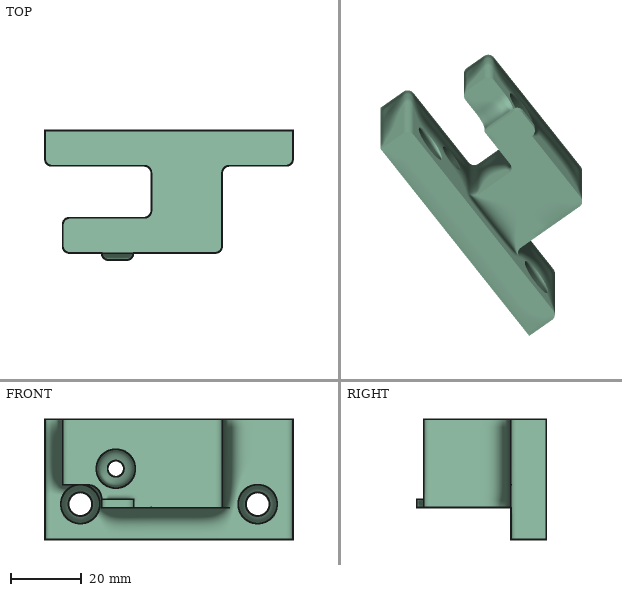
import cadquery as cq

PLATE_LENGTH = 70.0
PLATE_THICKNESS = 10.0
HEIGHT = 34.0
EDGE_RADIUS = 2.0

BODY_BOTTOM = 9.0
WEB_LEFT = 30.0
WEB_RIGHT = 50.0
ARM_LEFT = 5.0
ARM_THICKNESS = 10.0
SLOT_WIDTH = 14.57
ARM_BACK = PLATE_THICKNESS + SLOT_WIDTH
ARM_FRONT = ARM_BACK + ARM_THICKNESS

NOTCH_RIGHT = 16.0
NOTCH_TOP = 15.45
NOTCH_RADIUS = 4.0

LIP_RIGHT = 25.0
LIP_PROJECTION = 2.0
LIP_HEIGHT = 2.4

PLATE_HOLE_INSET = 10.0
PLATE_HOLE_Z = 10.0
PLATE_HOLE_DIAMETER = 6.6
PLATE_BORE_DEPTH = 6.8
HEAD_BORE_DIAMETER = 11.0
ARM_HOLE_X = 20.0
ARM_HOLE_Z = 20.0
ARM_HOLE_DIAMETER = 4.5
ARM_BORE_DEPTH = 5.0
FAR_HOLE_DIAMETER = 8.0


def block(x_min, x_max, front, back, z_min, z_max):
    """Box between two depths, measured forward (-Y) from the plate's back face."""
    size = (x_max - x_min, front - back, z_max - z_min)
    return cq.Workplane("XY").box(*size, centered=False).translate((x_min, -front, z_min))


def hole(x, z, diameter, front, depth):
    """Cylinder along Y that starts at the given forward depth and runs toward the back."""
    direction = cq.Vector(0, 1, 0)
    return cq.Workplane(cq.Solid.makeCylinder(diameter / 2, depth, cq.Vector(x, -front, z), direction))


def make_body():
    """Plate, web and arm in one piece, with every vertical edge rounded except at the plate's back."""
    plate = block(0, PLATE_LENGTH, PLATE_THICKNESS, 0, 0, HEIGHT)
    web = block(WEB_LEFT, WEB_RIGHT, ARM_FRONT, PLATE_THICKNESS, BODY_BOTTOM, HEIGHT)
    arm = block(ARM_LEFT, WEB_RIGHT, ARM_FRONT, ARM_BACK, BODY_BOTTOM, HEIGHT)
    body = plate.union(web).union(arm).clean()
    return body.edges("|Z").edges("not >Y").fillet(EDGE_RADIUS)


def make_notch():
    notch = block(0, NOTCH_RIGHT, ARM_FRONT, ARM_BACK, 0, NOTCH_TOP)
    return notch.edges("|Y and >X and >Z").fillet(NOTCH_RADIUS)


def make_lip():
    front = ARM_FRONT + LIP_PROJECTION
    lip = block(NOTCH_RIGHT, LIP_RIGHT, front, ARM_BACK + EDGE_RADIUS, BODY_BOTTOM, BODY_BOTTOM + LIP_HEIGHT)
    return lip.edges("|Z and <Y").fillet(EDGE_RADIUS)


def drill_plate(part):
    for x in (PLATE_HOLE_INSET, PLATE_LENGTH - PLATE_HOLE_INSET):
        part = part.cut(hole(x, PLATE_HOLE_Z, PLATE_HOLE_DIAMETER, PLATE_THICKNESS, PLATE_THICKNESS))
        part = part.cut(hole(x, PLATE_HOLE_Z, HEAD_BORE_DIAMETER, PLATE_THICKNESS, PLATE_BORE_DEPTH))
    return part.cut(hole(ARM_HOLE_X, ARM_HOLE_Z, FAR_HOLE_DIAMETER, PLATE_THICKNESS, PLATE_THICKNESS))


def drill_arm(part):
    part = part.cut(hole(ARM_HOLE_X, ARM_HOLE_Z, ARM_HOLE_DIAMETER, ARM_FRONT, ARM_THICKNESS))
    return part.cut(hole(ARM_HOLE_X, ARM_HOLE_Z, HEAD_BORE_DIAMETER, ARM_FRONT, ARM_BORE_DEPTH))


part = make_body().cut(make_notch()).union(make_lip())
part = drill_plate(part)
result = drill_arm(part)